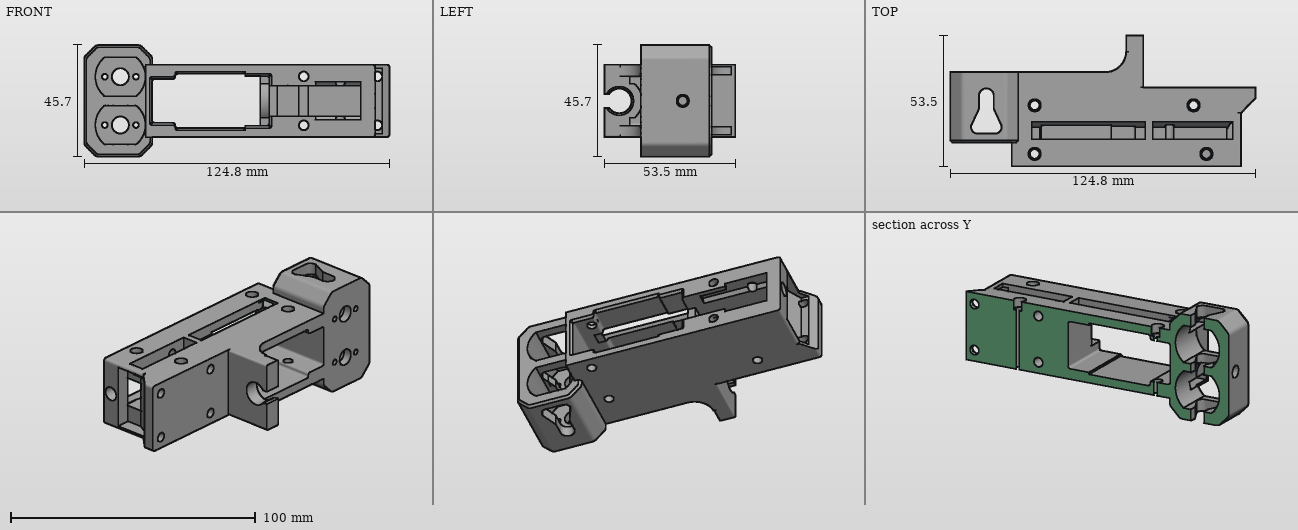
import cadquery as cq

LENGTH = 124.8
BODY_LEFT = 25.2
BODY_RIGHT = 118.9
BODY_HALF_HEIGHT = 14.8
BODY_DEPTH = 38.5
ARM_BACK = 32.3
LIP_FRONT = 28.0
LIP_ROOT = 21.8
END_ROUND = 1.2

HOOK_LEFT = 71.9
HOOK_RIGHT = 79.0
HOOK_BACK = 53.5
HOOK_FILLET = 8.4
HOOK_EDGE_ROUND = 0.9
CLIP_Y = 47.4
CLIP_RADIUS = 5.0
CLIP_CHAMFER = 0.9
CLIP_GAP = 5.6
COLLAR_RADIUS = 9.4
COLLAR_HALF_HEIGHT = 7.0

BLOCK_WIDTH = 28.0
BLOCK_HEIGHT = 45.7
BLOCK_FRONT = 9.7
BLOCK_CORNER = 5.0
BLOCK_CORNER_ROUND = 2.5
BLOCK_EDGE = 1.0
SOCKET_X = 14.8
SOCKET_Z = 9.9
SOCKET_RADIUS = 10.2
SOCKET_HALF_HEIGHT = 7.92
SOCKET_FLOOR = 34.8
CONTACT_HOLE = 6.9
PIN_HOLE = 2.2
PIN_OFFSET = 6.4

KEY_NECK = 6.0
KEY_TOP = 31.8
KEY_NECK_END = 23.5
KEY_WIDE = 12.4
KEY_WIDE_Y = 16.6
KEY_BOTTOM = 13.5
KEY_ROUND = 2.5

WINDOW_LEFT = 27.8
WINDOW_RIGHT = 75.6
WINDOW_STEP_1 = 37.2
WINDOW_STEP_2 = 65.7
WINDOW_HALF_LEFT = 8.9
WINDOW_HALF_MID = 11.0
WINDOW_HALF_RIGHT = 10.1
WINDOW_ROUND = 1.0
WINDOW_CHAMFER = 1.0
WINDOW_BACK = 43.2

POCKET_HALF = 6.2
POCKET_RIGHT = 112.9
POCKET_LEDGE_END = 78.8
POCKET_LEDGE_Y = 7.6
POCKET_FLOOR = 18.1
RECESS_LEFT = 83.1
RECESS_MOUTH = 94.5
RECESS_STEP = 1.5
RECESS_LIP = 2.0
RECESS_BACK = 6.5
GROOVE_DEPTH = 1.0
OPENING_HALF = 13.3
OPENING_FRONT = 7.9
OPENING_BACK = 24.8
OPENING_SLOPE_START = 15.0
OPENING_SLOPE_END = 118.5

CHANNEL_LOW = 10.6
CHANNEL_HIGH = 13.8
CHANNEL_MOUTH = 23.7
CHANNEL_STOP = 30.6
CHANNEL_START_Y = 1.6
CHANNEL_BEND_Y = 4.6
CHANNEL_BACK = 15.5
SLOT_FRONT = 11.1
SLOT_BACK = 18.2
SLOT_SLOPE = 2.2
SLOT_FLOOR = 9.0
SLOT_SPANS = [(33.4, 79.7), (82.7, 115.4)]

SCREW = 3.9
SCREW_CLEARANCE = 5.1
THROUGH_SCREWS = [(34.5, 5.1), (34.5, 25.0), (99.4, 25.0)]
BLIND_SCREW = (104.7, 5.1)
CLEARANCE_DEPTH = 4.0
FRONT_SCREW_Z = 10.0
FRONT_SCREW_X = 89.7
LIP_SCREW_X = 119.8
END_HOLE = 5.9
END_HOLE_Y = 3.9
BLOCK_SCREW_Y = 21.5
BLOCK_SCREW_DEPTH = 10.0
BLOCK_CLEARANCE_DEPTH = 3.7


def box(x0, x1, y0, y1, z0, z1):
    return cq.Workplane("XY").box(x1 - x0, y1 - y0, z1 - z0, centered=False).translate((x0, y0, z0))


def rod_x(diameter, y, z, x0, x1):
    return cq.Workplane("YZ", origin=(x0, y, z)).circle(diameter / 2).extrude(x1 - x0)


def rod_y(diameter, x, z, y0, y1):
    return cq.Workplane("XZ", origin=(x, y0, z)).circle(diameter / 2).extrude(y0 - y1)


def rod_z(diameter, x, y, z0, z1):
    return cq.Workplane("XY", origin=(x, y, z0)).circle(diameter / 2).extrude(z1 - z0)


def both_sides(shape):
    return shape.union(shape.mirror("XY"))


def make_body():
    height = 2 * BODY_HALF_HEIGHT
    plan = cq.Workplane("XY", origin=(0, 0, -BODY_HALF_HEIGHT))
    front = box(BODY_LEFT, BODY_RIGHT, 0, LIP_ROOT, -BODY_HALF_HEIGHT, BODY_HALF_HEIGHT)
    front = front.faces(">X").edges("|Y").fillet(END_ROUND)
    arm = box(BODY_LEFT, LENGTH, LIP_ROOT, ARM_BACK, -BODY_HALF_HEIGHT, BODY_HALF_HEIGHT)
    arm = arm.faces(">X").edges("|Y").fillet(END_ROUND)
    arm_bevel = (
        plan.polyline([(BODY_RIGHT, LIP_ROOT), (LENGTH, LIP_ROOT), (LENGTH, LIP_FRONT)])
        .close()
        .extrude(height)
    )
    back = box(BODY_LEFT, HOOK_LEFT, ARM_BACK, BODY_DEPTH, -BODY_HALF_HEIGHT, BODY_HALF_HEIGHT)
    body = front.union(arm.cut(arm_bevel)).union(back)
    hook = box(HOOK_LEFT, HOOK_RIGHT, LIP_ROOT, HOOK_BACK, -BODY_HALF_HEIGHT, BODY_HALF_HEIGHT)
    hook = hook.edges("|Y").fillet(HOOK_EDGE_ROUND)
    hook_root = box(HOOK_LEFT, HOOK_RIGHT, LIP_ROOT, ARM_BACK, -BODY_HALF_HEIGHT, BODY_HALF_HEIGHT)
    gusset_end = HOOK_LEFT + HOOK_EDGE_ROUND
    gusset = (
        plan.moveTo(HOOK_LEFT - HOOK_FILLET, BODY_DEPTH)
        .radiusArc((HOOK_LEFT, BODY_DEPTH + HOOK_FILLET), -HOOK_FILLET)
        .lineTo(gusset_end, BODY_DEPTH + HOOK_FILLET)
        .lineTo(gusset_end, ARM_BACK)
        .lineTo(HOOK_LEFT - HOOK_FILLET, ARM_BACK)
        .close()
        .extrude(height)
    )
    return body.union(hook).union(hook_root).union(gusset)


def make_block():
    block = box(0, BLOCK_WIDTH, BLOCK_FRONT, BODY_DEPTH, -BLOCK_HEIGHT / 2, BLOCK_HEIGHT / 2)
    block = block.edges("|Y").chamfer(BLOCK_CORNER)
    block = block.edges("|Y").fillet(BLOCK_CORNER_ROUND)
    return block.faces("<Y").edges().chamfer(BLOCK_EDGE)


def make_sockets():
    band_low, band_high = SOCKET_Z - SOCKET_HALF_HEIGHT, SOCKET_Z + SOCKET_HALF_HEIGHT
    band = box(0, BLOCK_WIDTH, 0, BODY_DEPTH, band_low, band_high)
    cavity = rod_y(2 * SOCKET_RADIUS, SOCKET_X, SOCKET_Z, BLOCK_FRONT, SOCKET_FLOOR).intersect(band)
    holes = rod_y(CONTACT_HOLE, SOCKET_X, SOCKET_Z, SOCKET_FLOOR, BODY_DEPTH)
    for side in (-1, 1):
        pin_x = SOCKET_X + side * PIN_OFFSET
        holes = holes.union(rod_y(PIN_HOLE, pin_x, SOCKET_Z, SOCKET_FLOOR, BODY_DEPTH))
    return both_sides(cavity.union(holes))


def make_keyhole():
    neck_centre = KEY_TOP - KEY_NECK / 2
    foot = (
        cq.Workplane("XY", origin=(SOCKET_X, 0, -BLOCK_HEIGHT / 2))
        .moveTo(-KEY_NECK / 2, KEY_NECK_END)
        .lineTo(KEY_NECK / 2, KEY_NECK_END)
        .lineTo(KEY_WIDE / 2, KEY_WIDE_Y)
        .lineTo(KEY_WIDE / 2, KEY_BOTTOM)
        .lineTo(-KEY_WIDE / 2, KEY_BOTTOM)
        .lineTo(-KEY_WIDE / 2, KEY_WIDE_Y)
        .close()
        .extrude(BLOCK_HEIGHT)
    )
    foot = foot.edges("|Z and <Y").fillet(KEY_ROUND)
    half = KEY_NECK / 2
    neck = box(
        SOCKET_X - half, SOCKET_X + half, KEY_WIDE_Y, neck_centre, -BLOCK_HEIGHT / 2, BLOCK_HEIGHT / 2
    )
    top = rod_z(KEY_NECK, SOCKET_X, neck_centre, -BLOCK_HEIGHT / 2, BLOCK_HEIGHT / 2)
    return foot.union(neck).union(top)


def window_prism(back, grow, taper=0):
    """Rounded window outline, enlarged by `grow`, extruded from the front face back to `back`."""
    left, right = WINDOW_LEFT - grow, WINDOW_RIGHT + grow
    step_1, step_2 = WINDOW_STEP_1, WINDOW_STEP_2
    low_left, mid, low_right = (
        half + grow for half in (WINDOW_HALF_LEFT, WINDOW_HALF_MID, WINDOW_HALF_RIGHT)
    )
    upper = [(left, low_left), (step_1, low_left), (step_1, mid), (step_2, mid), (step_2, low_right),
             (right, low_right)]
    step_corners = cq.selectors.BoxSelector(
        (step_1 - 0.1, -BODY_HALF_HEIGHT, -1.2), (step_1 + 0.1, BODY_HALF_HEIGHT, 1.2)
    )
    lower = [(x, -z) for x, z in reversed(upper)]
    outline = cq.Sketch().polygon(upper + lower + upper[:1])
    ends = outline.vertices("<X or >X").fillet(WINDOW_ROUND).reset()
    rounded = ends.vertices(step_corners).fillet(WINDOW_ROUND).reset()
    return cq.Workplane("XZ").placeSketch(rounded).extrude(-back, taper=taper)


def make_window():
    window = window_prism(BODY_DEPTH + HOOK_FILLET, 0)
    hook_limit = box(
        HOOK_LEFT, HOOK_RIGHT, WINDOW_BACK, HOOK_BACK, -BODY_HALF_HEIGHT, BODY_HALF_HEIGHT
    )
    collar = rod_x(2 * COLLAR_RADIUS, CLIP_Y, 0, HOOK_LEFT, HOOK_RIGHT)
    collar = collar.intersect(
        box(HOOK_LEFT, HOOK_RIGHT, 0, HOOK_BACK, -COLLAR_HALF_HEIGHT, COLLAR_HALF_HEIGHT)
    )
    window = window.cut(hook_limit).cut(collar)
    bevel = window_prism(WINDOW_CHAMFER, WINDOW_CHAMFER, taper=45)
    return window.union(bevel)


def make_clip():
    bore = rod_x(2 * CLIP_RADIUS, CLIP_Y, 0, HOOK_LEFT, HOOK_RIGHT)
    flare = (
        cq.Workplane("YZ", origin=(HOOK_LEFT, CLIP_Y, 0))
        .circle(CLIP_RADIUS + CLIP_CHAMFER)
        .extrude(CLIP_CHAMFER, taper=45)
    )
    gap = box(HOOK_LEFT, HOOK_RIGHT, CLIP_Y, HOOK_BACK, -CLIP_GAP / 2, CLIP_GAP / 2)
    return bore.union(flare).union(gap)


def make_pocket():
    mouth = box(WINDOW_RIGHT, POCKET_RIGHT, 0, POCKET_LEDGE_Y, -POCKET_HALF, POCKET_HALF)
    deep = box(POCKET_LEDGE_END, POCKET_RIGHT, 0, POCKET_FLOOR, -POCKET_HALF, POCKET_HALF)
    groove = box(
        FRONT_SCREW_X - SCREW / 2, FRONT_SCREW_X + SCREW / 2,
        POCKET_FLOOR, POCKET_FLOOR + GROOVE_DEPTH, -POCKET_HALF, POCKET_HALF,
    )
    pocket = mouth.union(deep).union(groove)

    wide = POCKET_HALF + RECESS_STEP
    recess = (
        cq.Workplane("YZ", origin=(RECESS_LEFT, 0, 0))
        .polyline([
            (0, -wide), (RECESS_BACK - RECESS_STEP, -wide), (RECESS_BACK, -POCKET_HALF),
            (RECESS_BACK, POCKET_HALF), (RECESS_BACK - RECESS_STEP, wide), (0, wide),
        ])
        .close()
        .extrude(POCKET_RIGHT - RECESS_LEFT)
    )
    lip = both_sides(box(RECESS_LEFT, RECESS_MOUTH, 0, RECESS_LIP, POCKET_HALF, wide))

    opening = (
        cq.Workplane("XY", origin=(0, 0, -OPENING_HALF))
        .polyline([
            (POCKET_RIGHT, OPENING_FRONT), (LENGTH, OPENING_FRONT), (LENGTH, OPENING_BACK),
            (OPENING_SLOPE_END, OPENING_BACK), (POCKET_RIGHT, OPENING_SLOPE_START),
        ])
        .close()
        .extrude(2 * OPENING_HALF)
    )
    return pocket.union(recess.cut(lip)).union(opening)


def make_channel():
    bend = SLOT_FRONT - CHANNEL_BEND_Y
    channel = (
        cq.Workplane("XY", origin=(0, 0, CHANNEL_LOW))
        .moveTo(CHANNEL_MOUTH, CHANNEL_START_Y)
        .lineTo(CHANNEL_STOP, CHANNEL_START_Y)
        .lineTo(CHANNEL_STOP, CHANNEL_BEND_Y)
        .radiusArc((CHANNEL_STOP + bend, SLOT_FRONT), bend)
        .lineTo(WINDOW_STEP_1, SLOT_FRONT)
        .lineTo(WINDOW_STEP_1, CHANNEL_BACK)
        .lineTo(CHANNEL_MOUTH, CHANNEL_BACK)
        .close()
        .extrude(CHANNEL_HIGH - CHANNEL_LOW)
    )
    return both_sides(channel)


def make_slot(left, right):
    return (
        cq.Workplane("YZ", origin=(left, 0, 0))
        .polyline([
            (SLOT_FRONT, SLOT_FLOOR), (SLOT_BACK - SLOT_SLOPE, SLOT_FLOOR),
            (SLOT_BACK, BODY_HALF_HEIGHT), (SLOT_FRONT, BODY_HALF_HEIGHT),
        ])
        .close()
        .extrude(right - left)
    )


def make_screw_holes():
    top = BODY_HALF_HEIGHT
    holes = rod_z(SCREW, *BLIND_SCREW, -POCKET_HALF - RECESS_STEP, top)
    for x, y in THROUGH_SCREWS:
        holes = holes.union(rod_z(SCREW, x, y, -top, top))
    for x, y in THROUGH_SCREWS + [BLIND_SCREW]:
        holes = holes.union(rod_z(SCREW_CLEARANCE, x, y, top - CLEARANCE_DEPTH, top))
    for x, start in ((FRONT_SCREW_X, 0), (LIP_SCREW_X, LIP_ROOT)):
        holes = holes.union(both_sides(rod_y(SCREW, x, FRONT_SCREW_Z, start, BODY_DEPTH)))
    holes = holes.union(rod_x(END_HOLE, END_HOLE_Y, 0, POCKET_RIGHT, BODY_RIGHT))
    holes = holes.union(rod_x(SCREW, BLOCK_SCREW_Y, 0, 0, BLOCK_SCREW_DEPTH))
    return holes.union(rod_x(SCREW_CLEARANCE, BLOCK_SCREW_Y, 0, 0, BLOCK_CLEARANCE_DEPTH))


result = make_body().union(make_block())
for cutter in (
    make_sockets(),
    make_keyhole(),
    make_window(),
    make_clip(),
    make_pocket(),
    make_channel(),
    *(make_slot(left, right) for left, right in SLOT_SPANS),
    make_screw_holes(),
):
    result = result.cut(cutter)